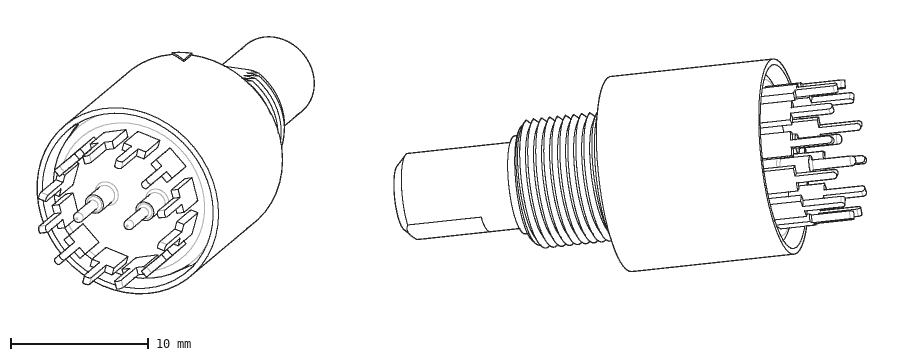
import cadquery as cq
import math


TIP_Y = 16.8
RING_FRONT_Y = 7.93
BUSHING_FRONT_Y = 7.22
THREAD_REAR_Y = 1.15
FLANGE_FRONT_Y = 0.95
HOUSING_FRONT_Y = 0.35
HOUSING_REAR_Y = -11.85
BASE_FACE_Y = -11.05
TERMINAL_STEP_Y = -13.7
PIN_STEP_Y = -13.4
TERMINAL_END_Y = -16.8
PIN_END_Y = -16.73

SHAFT_R = 3.15
SHAFT_CHAMFER = 0.77
SHAFT_FLAT_Z = -2.85
SHAFT_FLAT_REAR_Y = 10.5
RING_R = 3.6
RING_NOTCH_OUTER_WIDTH = 2.9
RING_NOTCH_INNER_WIDTH = 1.1
RING_NOTCH_FLOOR_Z = 3.23

HOUSING_DIAMETER = 14.28
HOUSING_R = HOUSING_DIAMETER / 2
CAVITY_R = 6.72
FRONT_WALL = 1.0
FLANGE_R = 5.38
BUSHING_FLAT_Z = 3.85
BUSHING_CHAMFER = 0.5
THREAD_R = 4.77
THREAD_LENGTH = BUSHING_FRONT_Y - THREAD_REAR_Y
THREAD_TURNS = 10.1
THREAD_PITCH = THREAD_LENGTH / THREAD_TURNS
THREAD_HALF_ANGLE = math.radians(30)
THREAD_DEPTH = THREAD_PITCH * math.cos(THREAD_HALF_ANGLE)
THREAD_CLEARANCE = 0.05
POINTER_HEIGHT = 0.15
POINTER_R = HOUSING_R + POINTER_HEIGHT
POINTER_SIZE = 1.55

BASE_EDGE_R = 6.42
BASE_EDGE_TAPER_LENGTH = 2.0
BASE_FILLET = 0.7
TERMINAL_COUNT = 12
TERMINAL_CIRCLE_R = 4.85
TERMINAL_WIDTH = 1.78
TERMINAL_TAIL_WIDTH = 0.55
TERMINAL_THICKNESS = 0.57
TERMINAL_TIP_RISE = 0.25
PIN_OFFSET_X = 1.98
PIN_BODY_R = 0.7
PIN_TAIL_R = 0.37
PIN_FILLET = 0.2
PIN_TIP_FILLET = 0.3

CAVITY_FLOOR_Y = HOUSING_FRONT_Y - FRONT_WALL

ARC_MIDPOINT_INSET = 1 - math.sqrt(0.5)


def disc(radius, rear_y, front_y):
    """Cylinder along Y between two Y positions."""
    return cq.Workplane("XZ", origin=(0, front_y, 0)).circle(radius).extrude(front_y - rear_y)


def flat_cutter(rear_y, front_y, low_z, high_z):
    """Block as wide as the part, for cutting flats."""
    return (
        cq.Workplane("XY", origin=(0, rear_y, low_z))
        .box(2 * HOUSING_R, front_y - rear_y, high_z - low_z, centered=(True, False, False))
    )


def make_shaft():
    """D-shaft with a notched ring that rests on the front of the bushing."""
    shaft = disc(SHAFT_R, CAVITY_FLOOR_Y, TIP_Y).faces(">Y").chamfer(SHAFT_CHAMFER)
    shaft = shaft.cut(flat_cutter(SHAFT_FLAT_REAR_Y, TIP_Y, -HOUSING_R, SHAFT_FLAT_Z))
    ring = disc(RING_R, BUSHING_FRONT_Y, RING_FRONT_Y)
    ring_notch = (
        cq.Workplane("XZ", origin=(0, RING_FRONT_Y, 0))
        .moveTo(-RING_NOTCH_INNER_WIDTH / 2, RING_NOTCH_FLOOR_Z)
        .lineTo(-RING_NOTCH_OUTER_WIDTH / 2, RING_R)
        .lineTo(RING_NOTCH_OUTER_WIDTH / 2, RING_R)
        .lineTo(RING_NOTCH_INNER_WIDTH / 2, RING_NOTCH_FLOOR_Z)
        .close()
        .extrude(RING_FRONT_Y - BUSHING_FRONT_Y)
    )
    return shaft.union(ring.cut(ring_notch))


def thread_groove():
    """Right-handed V groove that starts above the flat and runs off the front of the bushing."""
    helix = cq.Wire.makeHelix(THREAD_PITCH, THREAD_LENGTH + THREAD_PITCH, THREAD_R)
    half_mouth = (THREAD_DEPTH + THREAD_CLEARANCE) * math.tan(THREAD_HALF_ANGLE)
    profile = (
        cq.Workplane("XZ")
        .moveTo(THREAD_R - THREAD_DEPTH, 0)
        .lineTo(THREAD_R + THREAD_CLEARANCE, half_mouth)
        .lineTo(THREAD_R + THREAD_CLEARANCE, -half_mouth)
        .close()
    )
    groove = profile.sweep(cq.Workplane(helix), isFrenet=True)
    groove = groove.rotate((0, 0, 0), (0, 0, 1), -90).rotate((0, 0, 0), (1, 0, 0), -90)
    return groove.translate((0, THREAD_REAR_Y, 0))


def make_bushing():
    """Threaded bushing with a chamfered front edge and a flat on top."""
    bushing = disc(THREAD_R, FLANGE_FRONT_Y, BUSHING_FRONT_Y).faces(">Y").chamfer(BUSHING_CHAMFER)
    bushing = bushing.cut(thread_groove())
    return bushing.cut(flat_cutter(FLANGE_FRONT_Y, BUSHING_FRONT_Y, BUSHING_FLAT_Z, HOUSING_R))


def make_pointer():
    """Raised triangular mark on top of the housing at its front edge."""
    triangle = (
        cq.Workplane("XY")
        .moveTo(-POINTER_SIZE, HOUSING_FRONT_Y)
        .lineTo(0, HOUSING_FRONT_Y)
        .lineTo(0, HOUSING_FRONT_Y - POINTER_SIZE)
        .close()
        .extrude(HOUSING_R + POINTER_SIZE)
    )
    shell = disc(POINTER_R, HOUSING_FRONT_Y - POINTER_SIZE, HOUSING_FRONT_Y).cut(
        disc(CAVITY_R, HOUSING_FRONT_Y - POINTER_SIZE, HOUSING_FRONT_Y)
    )
    return shell.intersect(triangle)


def make_housing():
    """Hollow housing with a front flange, threaded bushing, pointer and shaft bore."""
    housing = disc(HOUSING_R, HOUSING_REAR_Y, HOUSING_FRONT_Y)
    housing = housing.union(make_pointer())
    housing = housing.union(disc(FLANGE_R, HOUSING_FRONT_Y, FLANGE_FRONT_Y))
    housing = housing.union(make_bushing())
    housing = housing.cut(disc(CAVITY_R, HOUSING_REAR_Y, CAVITY_FLOOR_Y))
    return housing.cut(disc(SHAFT_R, CAVITY_FLOOR_Y, BUSHING_FRONT_Y))


def make_terminal(angle):
    """Flat terminal with a narrow round-ended tail, at an angle about the Y axis."""
    half_width = TERMINAL_WIDTH / 2
    half_tail = TERMINAL_TAIL_WIDTH / 2
    tail_shoulder_y = TERMINAL_END_Y + TERMINAL_TIP_RISE
    return (
        cq.Workplane("XY", origin=(0, 0, TERMINAL_CIRCLE_R - TERMINAL_THICKNESS / 2))
        .moveTo(-half_width, BASE_FACE_Y)
        .lineTo(-half_width, TERMINAL_STEP_Y)
        .lineTo(-half_tail, TERMINAL_STEP_Y)
        .lineTo(-half_tail, tail_shoulder_y)
        .threePointArc((0, TERMINAL_END_Y), (half_tail, tail_shoulder_y))
        .lineTo(half_tail, TERMINAL_STEP_Y)
        .lineTo(half_width, TERMINAL_STEP_Y)
        .lineTo(half_width, BASE_FACE_Y)
        .close()
        .extrude(TERMINAL_THICKNESS)
        .rotate((0, 0, 0), (0, 1, 0), angle)
    )


def make_pin(x):
    """Stepped round pin with a concave fillet at the foot of each step."""
    corner = PIN_FILLET * ARC_MIDPOINT_INSET
    tip_corner = PIN_TIP_FILLET * ARC_MIDPOINT_INSET
    return (
        cq.Workplane("XY")
        .moveTo(0, BASE_FACE_Y)
        .lineTo(PIN_BODY_R + PIN_FILLET, BASE_FACE_Y)
        .threePointArc(
            (PIN_BODY_R + corner, BASE_FACE_Y - corner), (PIN_BODY_R, BASE_FACE_Y - PIN_FILLET)
        )
        .lineTo(PIN_BODY_R, PIN_STEP_Y)
        .lineTo(PIN_TAIL_R + PIN_FILLET, PIN_STEP_Y)
        .threePointArc(
            (PIN_TAIL_R + corner, PIN_STEP_Y - corner), (PIN_TAIL_R, PIN_STEP_Y - PIN_FILLET)
        )
        .lineTo(PIN_TAIL_R, PIN_END_Y + PIN_TIP_FILLET)
        .threePointArc(
            (PIN_TAIL_R - tip_corner, PIN_END_Y + tip_corner), (PIN_TAIL_R - PIN_TIP_FILLET, PIN_END_Y)
        )
        .lineTo(0, PIN_END_Y)
        .close()
        .revolve(360, (0, 0, 0), (0, 1, 0))
        .translate((x, 0, 0))
    )


def make_base():
    """Insulating base that fills the cavity and carries the terminals and pins."""
    edge_y = BASE_FACE_Y + BASE_FILLET
    corner = BASE_FILLET * ARC_MIDPOINT_INSET
    base = (
        cq.Workplane("XY")
        .moveTo(0, CAVITY_FLOOR_Y)
        .lineTo(CAVITY_R, CAVITY_FLOOR_Y)
        .lineTo(CAVITY_R, edge_y + BASE_EDGE_TAPER_LENGTH)
        .lineTo(BASE_EDGE_R, edge_y)
        .threePointArc(
            (BASE_EDGE_R - corner, BASE_FACE_Y + corner), (BASE_EDGE_R - BASE_FILLET, BASE_FACE_Y)
        )
        .lineTo(0, BASE_FACE_Y)
        .close()
        .revolve(360, (0, 0, 0), (0, 1, 0))
    )
    pitch_angle = 360 / TERMINAL_COUNT
    for index in range(TERMINAL_COUNT):
        base = base.union(make_terminal((index + 0.5) * pitch_angle))
    for x in (-PIN_OFFSET_X, PIN_OFFSET_X):
        base = base.union(make_pin(x))
    return base


shaft = make_shaft()
housing = make_housing()
base = make_base()

result = cq.Compound.makeCompound([shaft.solids().val(), housing.solids().val(), base.solids().val()])